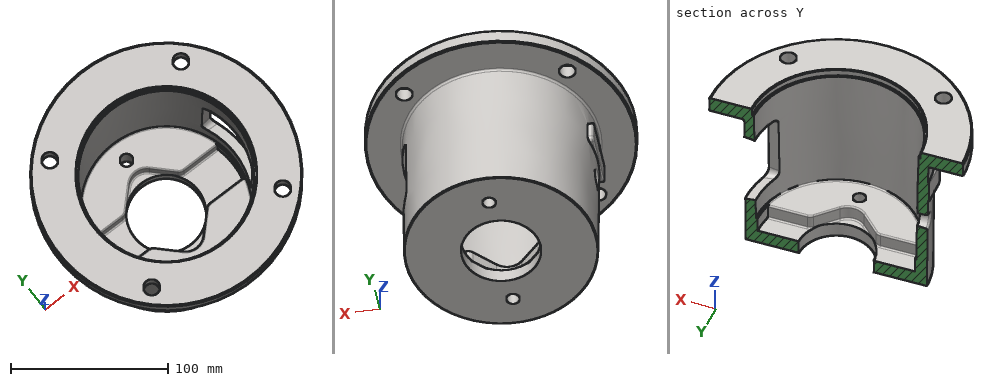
import cadquery as cq
import math

flange_diameter = 173.0
flange_thickness = 11.2
flange_chamfer = 0.9
flange_hole_diameter = 10.5
flange_hole_circle = 149.1

total_height = 114.3
flange_bottom = total_height - flange_thickness
body_top_radius = 62.8
body_bottom_radius = 61.8
neck_fillet = 1.4
base_chamfer = 0.5

pilot_radius = 57.3
pilot_depth = 5.0
pilot_chamfer = 0.5
cavity_top_radius = 55.9
cavity_floor_radius = 54.5
cavity_floor_z = 20.8
floor_fillet = 1.0

recess_floor_z = 10.4
recess_end_radius = cavity_floor_radius - floor_fillet
channel_half_width = 13.5
diamond_half_diagonal = 36.2
diamond_tip_radius = 11.6
channel_mouth_radius = 5.2

shaft_hole_diameter = 50.9
mount_hole_diameter = 8.5
mount_hole_offset = 41.2

window_width = 55.4
window_bottom = 35.3
window_height = 53.0
window_draft_angle = 8.0
window_corner_radius = 6.0
window_cut_depth = 26.0

access_hole_z = 55.5
access_outer_radius = 5.9
access_inner_radius = 5.0
access_edge_round = 1.5

plate_width = 38.5
plate_height = 16.6
plate_center_z = 82.0
plate_face_distance = 63.3
plate_corner_radius = 2.8
plate_edge_fillet = 1.0

overlap = 1.7
pick_margin = 0.2


def round_edge_near(solid, point, radius):
    """Fillet the single edge whose middle lies nearest the point."""
    return solid.edges(cq.selectors.NearestToPointSelector(point)).fillet(radius)


def make_shell():
    """Flange and drafted body as one turned solid."""
    flange = (
        cq.Workplane("XY", origin=(0, 0, flange_bottom))
        .circle(flange_diameter / 2)
        .extrude(flange_thickness)
        .edges()
        .chamfer(flange_chamfer)
    )
    body = (
        cq.Workplane("XZ")
        .lineTo(body_bottom_radius - base_chamfer, 0)
        .lineTo(body_bottom_radius, base_chamfer)
        .lineTo(body_top_radius, flange_bottom)
        .lineTo(0, flange_bottom)
        .close()
        .revolve(360, (0, 0), (0, 1))
    )
    flange_underside = cq.selectors.NearestToPointSelector((0, 0, flange_bottom))
    smallest_circle = cq.selectors.RadiusNthSelector(0)
    return flange.union(body).faces(flange_underside).edges(smallest_circle).fillet(neck_fillet)


def make_cavity():
    """Volume of the stepped bore above the floor."""
    pilot_floor_z = total_height - pilot_depth
    return (
        cq.Workplane("XZ")
        .moveTo(0, cavity_floor_z)
        .lineTo(cavity_floor_radius, cavity_floor_z)
        .lineTo(cavity_top_radius, pilot_floor_z)
        .lineTo(pilot_radius, pilot_floor_z)
        .lineTo(pilot_radius, total_height - pilot_chamfer)
        .lineTo(pilot_radius + pilot_chamfer, total_height)
        .lineTo(0, total_height)
        .close()
        .revolve(360, (0, 0), (0, 1))
        .faces("<Z")
        .edges()
        .fillet(floor_fillet)
    )


def make_recess():
    """Volume of the channel and diamond below the cavity floor."""
    depth = cavity_floor_z - recess_floor_z
    mouth_x = diamond_half_diagonal - channel_half_width
    reach = cavity_floor_radius + overlap
    middle_z = recess_floor_z + depth / 2
    recess = (
        cq.Workplane("XY", origin=(0, 0, recess_floor_z))
        .polyline([
            (reach, -channel_half_width),
            (reach, channel_half_width),
            (mouth_x, channel_half_width),
            (0, diamond_half_diagonal),
            (-mouth_x, channel_half_width),
            (-reach, channel_half_width),
            (-reach, -channel_half_width),
            (-mouth_x, -channel_half_width),
            (0, -diamond_half_diagonal),
            (mouth_x, -channel_half_width),
        ])
        .close()
        .extrude(depth)
    )
    for side in (-1, 1):
        tip = (0, side * diamond_half_diagonal, middle_z)
        recess = round_edge_near(recess, tip, diamond_tip_radius)
        for end in (-1, 1):
            mouth = (end * mouth_x, side * channel_half_width, middle_z)
            recess = round_edge_near(recess, mouth, channel_mouth_radius)
    recess = recess.faces("<Z").edges().fillet(floor_fillet)

    floor_disc = cq.Workplane("XY", origin=(0, 0, recess_floor_z)).circle(reach).extrude(depth)
    raised_floor = floor_disc.cut(recess)
    straight_and_tip_rims = cq.selectors.BoxSelector(
        (-recess_end_radius, -diamond_half_diagonal, cavity_floor_z - pick_margin),
        (recess_end_radius, diamond_half_diagonal, cavity_floor_z + pick_margin),
    )
    raised_floor = raised_floor.edges(straight_and_tip_rims).fillet(floor_fillet)
    bore = cq.Workplane("XY", origin=(0, 0, recess_floor_z)).circle(recess_end_radius).extrude(depth)
    return bore.cut(raised_floor)


def make_window():
    """Rounded rectangular opening through the +X wall, drafted toward the axis."""
    center_z = window_bottom + window_height / 2
    sketch = (
        cq.Sketch()
        .rect(window_width, window_height)
        .vertices()
        .fillet(window_corner_radius)
    )
    return (
        cq.Workplane("YZ", origin=(body_top_radius, 0, center_z))
        .placeSketch(sketch)
        .extrude(-window_cut_depth, taper=window_draft_angle)
    )


def make_access_hole():
    """Drafted hole along X, widening toward the outside of the -X wall."""
    return (
        cq.Workplane("XZ", origin=(0, 0, access_hole_z))
        .moveTo(-recess_end_radius, 0)
        .lineTo(-recess_end_radius, access_inner_radius)
        .lineTo(-body_top_radius, access_outer_radius)
        .lineTo(-body_top_radius, 0)
        .close()
        .revolve(360, (0, 0), (1, 0))
    )


def make_plate():
    """Flat raised plate on the -X wall, rooted inside the wall."""
    root_distance = cavity_top_radius + overlap
    return (
        cq.Workplane("YZ", origin=(-plate_face_distance, 0, plate_center_z))
        .rect(plate_width, plate_height)
        .extrude(plate_face_distance - root_distance)
        .edges("|X")
        .fillet(plate_corner_radius)
        .faces("<X")
        .edges()
        .fillet(plate_edge_fillet)
    )


def drill(points, diameter, bottom, depth):
    """Vertical round holes at the given points."""
    return (
        cq.Workplane("XY", origin=(0, 0, bottom))
        .pushPoints(points)
        .circle(diameter / 2)
        .extrude(depth)
    )


def diagonal_points(circle_diameter):
    """Four points at 45 degrees to the axes on a circle."""
    offset = circle_diameter / 2 * math.sqrt(0.5)
    return [(x, y) for x in (-offset, offset) for y in (-offset, offset)]


access_mouth = (-body_top_radius, 0, access_hole_z)
hollow_body = make_shell().union(make_plate()).cut(make_cavity()).cut(make_recess())
hollow_body = round_edge_near(hollow_body.cut(make_access_hole()), access_mouth, access_edge_round)

mount_points = [(0, -mount_hole_offset), (0, mount_hole_offset)]
flange_points = diagonal_points(flange_hole_circle)
result = (
    hollow_body
    .cut(make_window())
    .cut(drill([(0, 0)], shaft_hole_diameter, 0, cavity_floor_z))
    .cut(drill(mount_points, mount_hole_diameter, 0, cavity_floor_z))
    .cut(drill(flange_points, flange_hole_diameter, flange_bottom, flange_thickness))
)